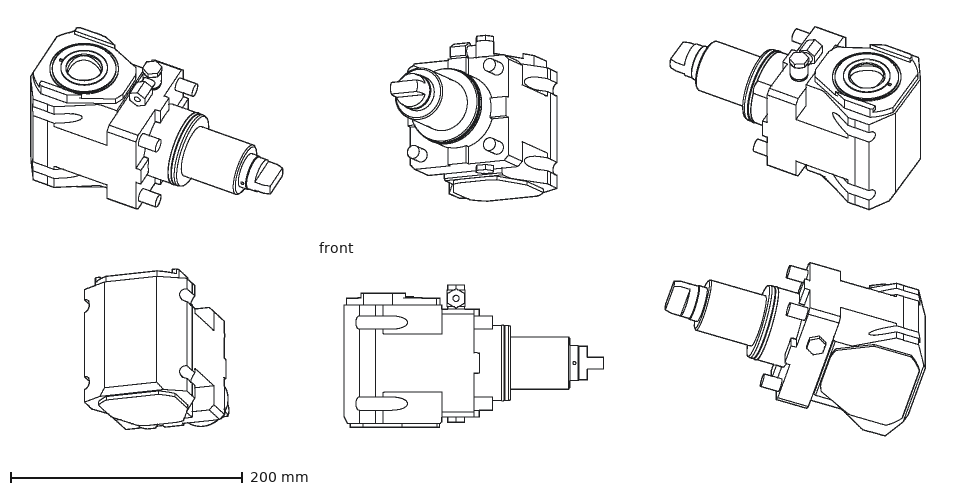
import cadquery as cq
import math

SIDES = (-1, 1)

head_left = -40.0
head_right = 44.7
head_top = 50.3
head_bottom = -52.3
half_width = 94.0 / 2
front_half_width = 23.8
corner_x = -26.3
side_step_x = -12.5
side_step = 0.2
front_chamfer = (3.1, 6.3)
rear_chamfer = 1.5

web_half_height = 25.1
pocket_start_x = -6.0
pocket_corner_x = 28.0
pocket_half_width = 27.6
pocket_corner_radius = 9.0
pocket_floor_radius = 0.7

screw_y = 36.4
screw_z = 35.0
screw_radius = 11.5 / 2
screw_end = 88.7
groove_start_x = -29.6
groove_end_x = 45.0
groove_radius = 11.5 / 2
groove_tilt = 0.14

plate_right = 72.5
plate_half_height = 46.7
plate_chamfer = 4.3
key_right = 77.2
key_half_width = 9.0
key_inner = 31.5
key_lead = 2.0
key_lead_depth = 0.5

flange_radius = 32.5
flange_neck_end = 96.0
ring_end = 98.5
ring_radius = 33.0
ring_groove_end = 99.2
ring_groove_radius = 31.9
flange_end = 104.2
flange_lead_length = 2.0
flange_lead_depth = 0.7
shank_end = 155.4
shank_radius = 22.7
shank_chamfer = 1.3
collar_end = 163.0
collar_radius = 15.3
collar_chamfer_length = 0.7
drive_shoulder = 170.5
drive_end = 184.5
drive_radius = 14.5
drive_taper_length = 5.8
drive_taper_depth = 1.5
tang_half_height = 5.2
pin_hole_x = 159.2
pin_hole_radius = 1.3
pin_hole_depth = 2.2

cover_top = 56.1
rib_top = 60.5
rib_inner = 32.8
rib_start_x = -25.1
bottom_cover_bottom = -55.5

seat_radius = 29.6
nose_radius = 27.6
seat_depth = 1.0
nose_edge_top = 56.5
nose_ring_radius = 20.2
nose_top = 57.5
bore_radius = 15.7
bore_mouth_depth = 1.5
lobe_mean_radius = 14.4
lobe_height = 1.0
lobe_points = 24
bore_depth = 7.2
nose_hole_x = -22.2
nose_hole_size = 2.2

fitting_x = 57.0
fitting_y = 17.0
bolt_top = 67.5
bolt_head_bottom = 63.0
bolt_flats = 14.5
banjo_radius = 7.9
banjo_bottom = 48.7
pipe_z = 56.0
pipe_radius = 5.5
nut_near_y = 2.2
nut_far_y = -12.5
nut_hole_radius = 2.7
nut_hole_depth = 6.7
plug_bottom = -51.2


def block(x0, x1, y0, y1, z0, z1):
    """Box between two opposite corners."""
    return cq.Workplane("XY").box(x1 - x0, y1 - y0, z1 - z0, centered=False).translate((x0, y0, z0))


def hexagon(flats, height):
    """Hexagonal prism standing on the XY plane, with two corners on the Y axis."""
    across_corners = flats / math.cos(math.pi / 6)
    return (
        cq.Workplane("XY").polygon(6, across_corners).extrude(height)
        .rotate((0, 0, 0), (0, 0, 1), 90)
    )


def corner_pocket(y_side, z_side):
    """Pocket cutter with a slanted inner wall, a rounded wall corner and a floor radius."""
    overshoot = 6.7
    margin = 0.2
    slope = (half_width - pocket_half_width) / (pocket_corner_x - pocket_start_x)
    outer = half_width + overshoot
    cutter = (
        cq.Workplane("XY").workplane(offset=web_half_height)
        .moveTo(pocket_start_x - overshoot / slope, outer)
        .lineTo(pocket_corner_x, pocket_half_width)
        .lineTo(head_right, pocket_half_width)
        .lineTo(head_right, outer)
        .close()
        .extrude(head_top - head_bottom)
    )
    wall_corner = cq.selectors.NearestToPointSelector((pocket_corner_x, pocket_half_width, head_top))
    cutter = cutter.edges("|Z").edges(wall_corner).fillet(pocket_corner_radius)
    wall_foot = cq.selectors.BoxSelector(
        (pocket_start_x - overshoot / slope, pocket_half_width - margin, web_half_height - margin),
        (head_right - margin, outer - margin, web_half_height + margin),
    )
    cutter = cutter.edges(wall_foot).fillet(pocket_floor_radius)
    if y_side < 0:
        cutter = cutter.mirror("XZ")
    if z_side < 0:
        cutter = cutter.mirror("XY")
    return cutter


def access_groove(y_side, z_side):
    """Round-bottomed groove, open to the side, running inward towards a screw."""
    length = groove_end_x - groove_start_x
    overshoot = 11.2
    bottom = cq.Workplane("YZ").circle(groove_radius).extrude(length + 2 * overshoot)
    opening = block(0, length + 2 * overshoot, 0, half_width, -groove_radius, groove_radius)
    tilt = math.degrees(math.atan(groove_tilt))
    groove = bottom.union(opening).translate((-overshoot, 0, 0))
    groove = groove.rotate((0, 0, 0), (0, 0, 1), -tilt)
    groove = groove.translate((groove_start_x, half_width, screw_z * z_side))
    return groove if y_side > 0 else groove.mirror("XZ")


def head():
    profile = (
        cq.Workplane("XY").workplane(offset=head_bottom)
        .moveTo(head_left, -front_half_width)
        .lineTo(corner_x, side_step - half_width)
        .lineTo(side_step_x, side_step - half_width)
        .lineTo(side_step_x, -half_width)
        .lineTo(head_right, -half_width)
        .lineTo(head_right, half_width)
        .lineTo(side_step_x, half_width)
        .lineTo(side_step_x, half_width - side_step)
        .lineTo(corner_x, half_width - side_step)
        .lineTo(head_left, front_half_width)
        .close()
    )
    body = profile.extrude(head_top - head_bottom)
    bevel_x, bevel_z = front_chamfer
    front_bevel = (
        cq.Workplane("XZ")
        .moveTo(head_left, head_bottom)
        .lineTo(head_left + bevel_x, head_bottom)
        .lineTo(head_left, head_bottom + bevel_z)
        .close()
        .extrude(half_width, both=True)
    )
    body = body.cut(front_bevel).edges(">X and <Z").chamfer(rear_chamfer)
    for y_side in SIDES:
        for z_side in SIDES:
            body = body.cut(corner_pocket(y_side, z_side)).cut(access_groove(y_side, z_side))
    return body


def clamping_plate():
    plate = block(
        head_right, plate_right, -half_width, half_width, -plate_half_height, plate_half_height
    )
    plate = plate.edges("|X").chamfer(plate_chamfer)
    for quarter in range(4):
        reach = half_width if quarter % 2 else plate_half_height
        key = (
            cq.Workplane("XY").workplane(offset=key_inner)
            .moveTo(plate_right, -key_half_width)
            .lineTo(key_right - key_lead, -key_half_width)
            .lineTo(key_right, key_lead_depth - key_half_width)
            .lineTo(key_right, key_half_width - key_lead_depth)
            .lineTo(key_right - key_lead, key_half_width)
            .lineTo(plate_right, key_half_width)
            .close()
            .extrude(reach - key_inner)
        )
        plate = plate.union(key.rotate((0, 0, 0), (1, 0, 0), 90 * quarter))
    screws = (
        cq.Workplane("YZ").workplane(offset=plate_right)
        .rect(2 * screw_y, 2 * screw_z, forConstruction=True).vertices()
        .circle(screw_radius).extrude(screw_end - plate_right)
    )
    return plate.union(screws)


def shank():
    ring_middle = (flange_neck_end + ring_end) / 2
    turned = (
        cq.Workplane("XZ")
        .moveTo(plate_right, 0)
        .lineTo(plate_right, flange_radius)
        .lineTo(flange_neck_end, flange_radius)
        .lineTo(flange_neck_end, ring_groove_radius)
        .threePointArc((ring_middle, ring_radius), (ring_end, ring_groove_radius))
        .lineTo(ring_groove_end, ring_groove_radius)
        .lineTo(ring_groove_end, flange_radius)
        .lineTo(flange_end - flange_lead_length, flange_radius)
        .lineTo(flange_end, flange_radius - flange_lead_depth)
        .lineTo(flange_end, shank_radius)
        .lineTo(shank_end - shank_chamfer, shank_radius)
        .lineTo(shank_end, shank_radius - shank_chamfer)
        .lineTo(shank_end, collar_radius)
        .lineTo(collar_end - collar_chamfer_length, collar_radius)
        .lineTo(collar_end, drive_radius)
        .lineTo(drive_end - drive_taper_length, drive_radius)
        .lineTo(drive_end, drive_radius - drive_taper_depth)
        .lineTo(drive_end, 0)
        .close()
        .revolve(360, (0, 0, 0), (1, 0, 0))
    )
    for z_side in SIDES:
        z_edges = sorted((z_side * tang_half_height, z_side * drive_radius))
        turned = turned.cut(block(drive_shoulder, drive_end, -drive_radius, drive_radius, *z_edges))
    pin_hole = (
        cq.Workplane("XZ").workplane(offset=collar_radius - pin_hole_depth)
        .center(pin_hole_x, 0).circle(pin_hole_radius).extrude(2 * pin_hole_depth)
    )
    return turned.cut(pin_hole)


def cover(z0, z1, left, front_half, front_x, side_half, slant_x, shoulder, nose):
    """Flat cover with slanted rear sides and corners rounded about the bore axis.

    The rear corner arcs run between the points `shoulder` and `nose`, given as (X, half width).
    """
    front_radius = math.hypot(left, front_half)
    rear_radius = math.hypot(*shoulder)
    return (
        cq.Workplane("XY").workplane(offset=z0)
        .moveTo(left, front_half)
        .radiusArc((front_x, side_half), front_radius)
        .lineTo(slant_x, side_half)
        .lineTo(*shoulder)
        .radiusArc(nose, rear_radius)
        .lineTo(nose[0], -nose[1])
        .radiusArc((shoulder[0], -shoulder[1]), rear_radius)
        .lineTo(slant_x, -side_half)
        .lineTo(front_x, -side_half)
        .radiusArc((left, -front_half), front_radius)
        .close()
        .extrude(z1 - z0)
    )


def lobed_point(turn):
    """Point on the three-lobed socket outline at a fraction `turn` of a full turn."""
    angle = 2 * math.pi * turn
    radius = lobe_mean_radius + lobe_height * math.cos(3 * angle)
    return radius * math.cos(angle), radius * math.sin(angle)


def bore():
    mouth = (
        cq.Workplane("XY").workplane(offset=nose_top - bore_mouth_depth)
        .circle(bore_radius).extrude(bore_mouth_depth)
    )
    outline = [lobed_point(i / lobe_points) for i in range(lobe_points)]
    socket = (
        cq.Workplane("XY").workplane(offset=nose_top - bore_depth)
        .spline(outline, periodic=True).close().extrude(bore_depth)
    )
    return mouth.union(socket)


def top_cover():
    plate = cover(
        head_top, rib_top, left=-37.7, front_half=23.3, front_x=-23.0, side_half=38.2,
        slant_x=2.0, shoulder=(40.0, 20.5), nose=(43.3, 12.3),
    )
    middle = block(head_left, head_right, -rib_inner, rib_inner, cover_top, rib_top)
    front = block(head_left, rib_start_x, -half_width, half_width, cover_top, rib_top)
    seat = (
        cq.Workplane("XY").workplane(offset=cover_top - seat_depth)
        .circle(seat_radius).extrude(seat_depth)
    )
    nose = (
        cq.Workplane("XY").workplane(offset=cover_top - seat_depth)
        .circle(nose_radius).extrude(nose_edge_top - cover_top + seat_depth)
        .faces(">Z").workplane().circle(nose_ring_radius).extrude(nose_top - nose_edge_top)
    )
    nose_hole = (
        cq.Workplane("XY").workplane(offset=cover_top)
        .center(nose_hole_x, 0).rect(nose_hole_size, nose_hole_size).extrude(nose_top - cover_top)
    )
    return plate.cut(middle).cut(front).cut(seat).union(nose).cut(nose_hole).cut(bore())


def bottom_cover():
    return cover(
        bottom_cover_bottom, head_bottom, left=-34.5, front_half=23.8, front_x=-23.3, side_half=35.0,
        slant_x=10.3, shoulder=(40.5, 20.9), nose=(42.9, 13.5),
    )


def coolant_fitting():
    """Banjo fitting on top of the plate, with a pipe nut pointing to -Y."""
    bolt = hexagon(bolt_flats, bolt_top - bolt_head_bottom).translate((0, 0, bolt_head_bottom))
    neck = (
        cq.Workplane("XY").workplane(offset=plate_half_height)
        .circle(bolt_flats / 2).extrude(banjo_bottom - plate_half_height)
    )
    banjo = (
        cq.Workplane("XY").workplane(offset=banjo_bottom)
        .circle(banjo_radius).extrude(bolt_head_bottom - banjo_bottom)
    )
    upright = bolt.union(neck).union(banjo).translate((fitting_x, fitting_y, 0))
    pipe = (
        cq.Workplane("XZ").circle(pipe_radius).extrude(fitting_y - nut_near_y)
        .translate((fitting_x, fitting_y, pipe_z))
    )
    nut = (
        hexagon(bolt_flats, nut_near_y - nut_far_y)
        .faces(">Z").workplane().hole(2 * nut_hole_radius, nut_hole_depth)
        .rotate((0, 0, 0), (1, 0, 0), 90)
        .translate((fitting_x, nut_near_y, pipe_z))
    )
    return upright.union(pipe).union(nut)


def bottom_plug():
    height = -plate_half_height - plug_bottom
    return hexagon(bolt_flats, height).translate((fitting_x, fitting_y, plug_bottom))


result = (
    head()
    .union(clamping_plate())
    .union(shank())
    .union(top_cover())
    .union(bottom_cover())
    .union(coolant_fitting())
    .union(bottom_plug())
)